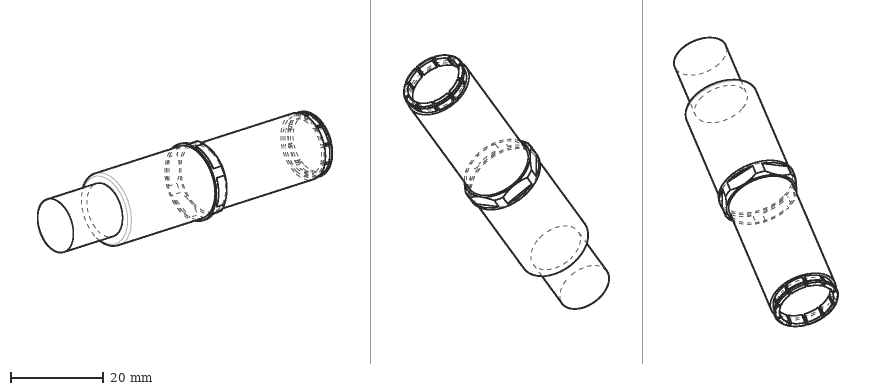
import cadquery as cq
import math


barrel_start = 13.95
flange_start = 38.4
flange_thickness = 0.65
hex_end = 41.95
sleeve_end = 70.4
total_length = 72.7

plunger_radius = 6.0
barrel_radius = 8.2
barrel_fillet = 0.6
flange_diameter = 17.4
flange_radius = flange_diameter / 2
sleeve_diameter = 15.05
sleeve_radius = sleeve_diameter / 2

across_flats = 16.0
hex_chamfer = flange_radius - across_flats / 2

crown_base_radius = 6.9
crown_neck_radius = 7.1
lip_radius = 7.35
lip_length = 0.7
lip_peak_setback = 0.35
crown_bore_radius = 6.2
slot_count = 10
slot_width = 0.5

hex_start = flange_start + flange_thickness
crown_length = total_length - sleeve_end


def cylinder(radius, start, end):
    """Solid cylinder about the Y axis between two Y positions."""
    return cq.Workplane("XZ", origin=(0, start, 0)).circle(radius).extrude(start - end)


def make_barrel():
    """Cylinder behind the plunger, rounded on its front edge."""
    barrel = cylinder(barrel_radius, barrel_start, flange_start)
    return barrel.faces("<Y").edges().fillet(barrel_fillet)


def make_hex_nut():
    """Hexagon with flats facing +X and -X, its corners turned to the flange radius."""
    corner_diameter = across_flats / math.cos(math.pi / 6)
    hexagon = (
        cq.Workplane("XZ", origin=(0, hex_start, 0))
        .transformed(rotate=(0, 0, 90))
        .polygon(6, corner_diameter)
        .extrude(hex_start - hex_end)
    )
    turned_blank = cylinder(flange_radius, hex_start, hex_end).faces(">Y").edges().chamfer(hex_chamfer)
    return hexagon.intersect(turned_blank)


def make_crown():
    """Thin ring flaring toward its snap lip, cut into equal fingers by radial slots."""
    lip_start = total_length - lip_length
    lip_peak = total_length - lip_peak_setback
    ring = (
        cq.Workplane("XY")
        .moveTo(crown_bore_radius, sleeve_end)
        .lineTo(crown_base_radius, sleeve_end)
        .lineTo(crown_neck_radius, lip_start)
        .lineTo(lip_radius, lip_peak)
        .lineTo(crown_neck_radius, total_length)
        .lineTo(crown_bore_radius, total_length)
        .close()
        .revolve(360, (0, 0, 0), (0, 1, 0))
    )
    slot = cq.Workplane("XY", origin=(0, sleeve_end, 0)).box(
        slot_width, crown_length, flange_radius, centered=(True, False, False)
    )
    for index in range(slot_count):
        ring = ring.cut(slot.rotate((0, 0, 0), (0, 1, 0), index * 360 / slot_count))
    return ring


plunger = cylinder(plunger_radius, 0, barrel_start)
flange = cylinder(flange_radius, flange_start, hex_start)
sleeve = cylinder(sleeve_radius, hex_end, sleeve_end)

result = (
    plunger.union(make_barrel())
    .union(flange)
    .union(make_hex_nut())
    .union(sleeve)
    .union(make_crown())
)